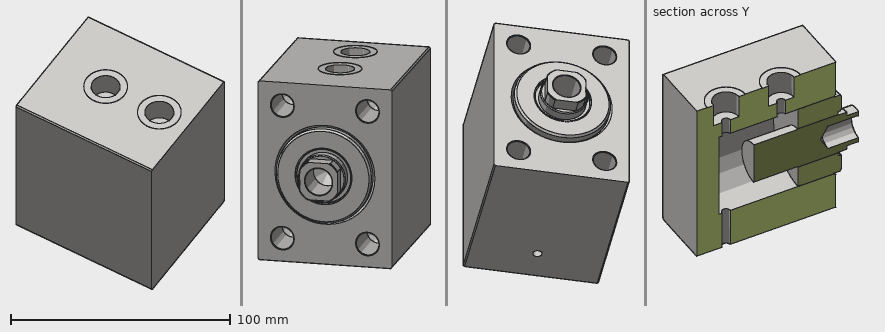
import cadquery as cq
import math


block_length = 73.0
block_width = 63.0
block_height = 85.0
long_edge_chamfer = 0.7

bore_diameter = 44.8
bore_mouth_chamfer = 1.1
bore_depth = 61.2

drill_point_angle = 118.0
mount_hole_diameter = 10.5
mount_hole_mouth = 11.2
mount_hole_depth = 20.4
mount_pitch_y = 40.0
mount_pitch_z = 63.0

first_port_x = 28.65
port_pitch = 28.9
port_diameter = 13.2
port_depth = 11.9
port_seat_diameter = 20.0
port_seat_depth = 0.2
oil_hole_diameter = 4.2

gland_projection = 3.0
gland_chamfer = 0.9
gland_length = 22.95
wiper_diameter = 25.5
wiper_mouth_diameter = 26.7
wiper_mouth_depth = 0.5
wiper_depth = 1.7

rod_diameter = 22.0
rod_projection = 3.0
rod_chamfer = 0.5
tip_length = 6.0
tip_diameter = 20.8
tip_chamfer = 0.3
tip_across_flats = 17.85
rod_hole_diameter = 12.75
rod_hole_mouth = 13.3
rod_hole_depth = 16.15

port_positions = [first_port_x, first_port_x + port_pitch]
gland_front_x = -gland_projection
shoulder_x = gland_front_x - rod_projection
tip_x = shoulder_x - tip_length
rod_end_x = sum(port_positions) / 2


def turned(profile):
    """Solid turned about the X axis from (x, radius) points, with flat ends down to the axis."""
    start_x = profile[0][0]
    end_x, end_radius = profile[-1]
    points = [(start_x, 0), *profile]
    if end_radius > 0:
        points.append((end_x, 0))
    outline = cq.Workplane("XZ").polyline(points).close()
    return outline.revolve(360, (0, 0, 0), (1, 0, 0))


def blind_hole(face_x, diameter, mouth_diameter, depth):
    """Cutter for a drilled hole along +X with a 45 degree mouth chamfer and a conical bottom."""
    radius = diameter / 2
    mouth_radius = mouth_diameter / 2
    point_length = radius / math.tan(math.radians(drill_point_angle / 2))
    return turned([
        (face_x, mouth_radius),
        (face_x + mouth_radius - radius, radius),
        (face_x + depth, radius),
        (face_x + depth + point_length, 0),
    ])


def cylinder_down(x, top_z, diameter, depth):
    """Cutter that goes straight down from top_z."""
    return cq.Workplane("XY", origin=(x, 0, top_z)).circle(diameter / 2).extrude(-depth)


def make_housing():
    block = cq.Workplane("XY").box(block_length, block_width, block_height, centered=(False, True, True))
    block = block.edges("|X").chamfer(long_edge_chamfer)

    bore_radius = bore_diameter / 2
    bore = turned([
        (0, bore_radius + bore_mouth_chamfer),
        (bore_mouth_chamfer, bore_radius),
        (bore_depth, bore_radius),
    ])
    block = block.cut(bore)

    mount_hole = blind_hole(0, mount_hole_diameter, mount_hole_mouth, mount_hole_depth)
    for y in (-mount_pitch_y / 2, mount_pitch_y / 2):
        for z in (-mount_pitch_z / 2, mount_pitch_z / 2):
            block = block.cut(mount_hole.translate((0, y, z)))

    top_z = block_height / 2
    for x in port_positions:
        block = block.cut(cylinder_down(x, top_z, port_seat_diameter, port_seat_depth))
        block = block.cut(cylinder_down(x, top_z, port_diameter, port_depth))

    first_x, second_x = port_positions
    block = block.cut(cylinder_down(first_x, top_z, oil_hole_diameter, top_z))
    return block.cut(cylinder_down(second_x, top_z, oil_hole_diameter, block_height))


def make_gland():
    radius = bore_diameter / 2
    body = turned([
        (gland_front_x, radius - gland_chamfer),
        (gland_front_x + gland_chamfer, radius),
        (gland_front_x + gland_length, radius),
    ])

    wiper_radius = wiper_diameter / 2
    wiper_mouth_radius = wiper_mouth_diameter / 2
    rod_passage = turned([
        (gland_front_x, wiper_mouth_radius),
        (gland_front_x + wiper_mouth_depth, wiper_mouth_radius),
        (gland_front_x + wiper_mouth_depth, wiper_radius),
        (gland_front_x + wiper_depth, wiper_radius),
        (gland_front_x + wiper_depth, rod_diameter / 2),
        (gland_front_x + gland_length, rod_diameter / 2),
    ])
    return body.cut(rod_passage)


def make_rod():
    rod_radius = rod_diameter / 2
    shaft = turned([
        (shoulder_x, rod_radius - rod_chamfer),
        (shoulder_x + rod_chamfer, rod_radius),
        (rod_end_x, rod_radius),
    ])

    tip_radius = tip_diameter / 2
    tip = turned([
        (tip_x, tip_radius - tip_chamfer),
        (tip_x + tip_chamfer, tip_radius),
        (shoulder_x, tip_radius),
    ])
    square = cq.Workplane("YZ", origin=(tip_x, 0, 0)).rect(tip_across_flats, tip_across_flats)
    tip = tip.intersect(square.extrude(tip_length))

    hole = blind_hole(tip_x, rod_hole_diameter, rod_hole_mouth, rod_hole_depth)
    return shaft.union(tip).cut(hole)


housing = make_housing()
gland = make_gland()
rod = make_rod()

result = cq.Compound.makeCompound([housing.val(), gland.val(), rod.val()])